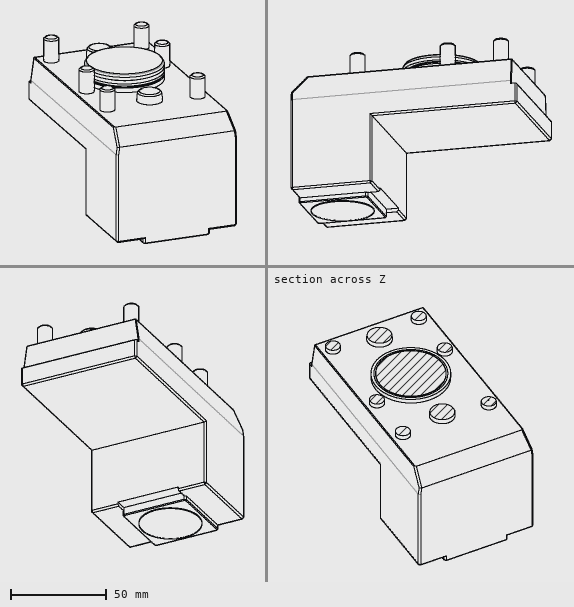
import cadquery as cq
import math


body_width = 68.0
left_end = -49.9
right_end = left_end + 123
step_left = -47.0
ledge_z = -14.1
crease_z = -12.5
top_width = 64.5
plate_bottom = -25.0
leg_left = 28.9
leg_bottom = -61.9
slope_run = 8.2
edge_chamfer = 1.0
fine_chamfer = 0.43

foot_length = 37.5
foot_width = 37.5
foot_bottom = -64.5
foot_chamfer = 0.5
notch_width = foot_width - 2 * edge_chamfer
notch_top = -59.9
pad_diameter = 33.1
pad_height = 0.5

screw_diameter = 8.0
screw_chamfer = 0.9
screw_x = 39.0
screw_mid_x = 10.1
screw_y = 25.5
screw_height = 13.0
short_screw_height = 12.0

bush_diameter = 13.5
bush_top_diameter = 12.7
bush_side_bulge = 0.1
bush_x = 34.9
bush_height = 5.3
bush_chamfer = 0.9

boss_diameter = 41.8
boss_height = 10.1
groove_diameter = 37.0
groove_bottom = 2.5
groove_top = 6.8
lead_in_start = 8.5
lead_in_end = 9.6
lead_in_radius = 20.3
boss_top_radius = 19.9
ring_section = 3.5
ring_diameter = 42.0
ring_band_height = 1.2


def edge_box(low, high):
    """Selector for edges centred between two X-Z corners, across the whole width."""
    margin = 0.1
    low_x, low_z = low
    high_x, high_z = high
    return cq.selectors.BoxSelector(
        (low_x - margin, -body_width, low_z - margin),
        (high_x + margin, body_width, high_z + margin),
    )


def combine(selectors):
    """Selector for the edges picked by any of the given selectors."""
    total = selectors[0]
    for selector in selectors[1:]:
        total = total + selector
    return total


def make_body():
    """L-shaped body with leaning upper side walls and chamfered edges."""
    half_width = body_width / 2
    profile = [
        (left_end, plate_bottom),
        (left_end, ledge_z),
        (step_left, ledge_z),
        (step_left, 0),
        (right_end - slope_run, 0),
        (right_end, -slope_run),
        (right_end, leg_bottom),
        (leg_left, leg_bottom),
        (leg_left, plate_bottom),
    ]
    block = cq.Workplane("XZ").polyline(profile).close().extrude(half_width, both=True)
    cross_section = [
        (-half_width, leg_bottom),
        (-half_width, crease_z),
        (-top_width / 2, 0),
        (top_width / 2, 0),
        (half_width, crease_z),
        (half_width, leg_bottom),
    ]
    envelope = (
        cq.Workplane("YZ", origin=(left_end, 0, 0))
        .polyline(cross_section).close().extrude(right_end - left_end)
    )
    body = block.intersect(envelope)

    coarse_boxes = [
        edge_box((right_end - slope_run, leg_bottom), (right_end, -slope_run / 2)),
        edge_box((leg_left, leg_bottom), (right_end, leg_bottom)),
        edge_box((leg_left, leg_bottom), (leg_left, plate_bottom - edge_chamfer)),
        edge_box((left_end, plate_bottom), (0, plate_bottom)),
        edge_box((left_end, plate_bottom), (left_end, ledge_z - edge_chamfer)),
    ]
    slope_low_edge = edge_box((right_end, -slope_run), (right_end, -slope_run))
    body = body.edges(combine(coarse_boxes) - slope_low_edge).chamfer(edge_chamfer)

    fine_boxes = [
        edge_box((step_left, 0), (right_end - slope_run - edge_chamfer, 0)),
        edge_box((step_left, (ledge_z + crease_z) / 2), (step_left, 0)),
        edge_box((left_end, ledge_z), (left_end, ledge_z)),
    ]
    return body.edges(combine(fine_boxes)).chamfer(fine_chamfer)


def make_foot():
    """Square foot with a thin round pad, flush with the right end of the leg."""
    foot_x = right_end - foot_length / 2
    block = (
        cq.Workplane("XY", origin=(foot_x, 0, foot_bottom))
        .rect(foot_length, foot_width).extrude(notch_top - foot_bottom)
        .edges("|Z").chamfer(edge_chamfer)
        .faces("<Z").edges().chamfer(foot_chamfer)
    )
    pad = (
        cq.Workplane("XY", origin=(foot_x, 0, foot_bottom))
        .circle(pad_diameter / 2).extrude(-pad_height)
    )
    return block.union(pad)


def make_screw(x, y, height):
    """Chamfered screw end standing on the top face."""
    return (
        cq.Workplane("XY", origin=(x, y, 0))
        .circle(screw_diameter / 2).extrude(height)
        .faces(">Z").chamfer(screw_chamfer)
    )


def make_bush(x):
    """Locating bush with a slightly bowed, tapering side."""
    base_radius = bush_diameter / 2
    shoulder_radius = bush_top_diameter / 2
    shoulder_z = bush_height - bush_chamfer
    bow_point = ((base_radius + shoulder_radius) / 2 + bush_side_bulge, shoulder_z / 2)
    return (
        cq.Workplane("XZ")
        .lineTo(base_radius, 0)
        .threePointArc(bow_point, (shoulder_radius, shoulder_z))
        .lineTo(shoulder_radius - bush_chamfer, bush_height)
        .lineTo(0, bush_height)
        .close().revolve(360, (0, 0, 0), (0, 1, 0))
        .translate((x, 0, 0))
    )


def make_boss():
    """Round boss with a tapered lead-in, a groove and a flat-edged seal ring in it."""
    boss_radius = boss_diameter / 2
    groove_radius = groove_diameter / 2
    profile = [
        (0, 0),
        (boss_radius, 0),
        (boss_radius, groove_bottom),
        (groove_radius, groove_bottom),
        (groove_radius, groove_top),
        (boss_radius, groove_top),
        (boss_radius, lead_in_start),
        (lead_in_radius, lead_in_end),
        (boss_top_radius, boss_height),
        (0, boss_height),
    ]
    boss = cq.Workplane("XZ").polyline(profile).close().revolve(360, (0, 0, 0), (0, 1, 0))
    section_radius = ring_section / 2
    band_offset = math.sqrt(section_radius**2 - (ring_band_height / 2) ** 2)
    ring_center_radius = ring_diameter / 2 - band_offset
    ring_solid = cq.Solid.makeTorus(
        ring_center_radius, section_radius, cq.Vector(0, 0, groove_bottom + section_radius)
    )
    band_limit = cq.Workplane("XY").circle(ring_diameter / 2).extrude(boss_height)
    ring = cq.Workplane(obj=ring_solid).intersect(band_limit)
    return boss.union(ring)


def make_notch():
    """Shallow channel along the leg bottom, from the left wall of the leg to the foot."""
    return (
        cq.Workplane("XY", origin=(leg_left, 0, leg_bottom))
        .box(right_end - leg_left, notch_width, notch_top - leg_bottom, centered=(False, True, False))
    )


result = make_body().cut(make_notch()).union(make_foot()).union(make_boss())

for side in (-1, 1):
    result = result.union(make_bush(side * bush_x))
    result = result.union(make_screw(-screw_x, side * screw_y, screw_height))
    result = result.union(make_screw(-side * screw_mid_x, side * screw_y, screw_height))
    result = result.union(make_screw(screw_x, side * screw_y, short_screw_height))